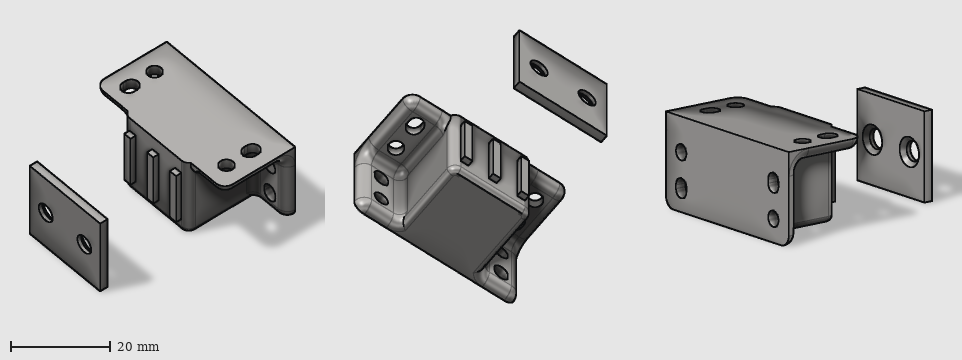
import cadquery as cq

housing_width = 40.0
housing_depth = 20.0
housing_height = 20.0

flange_thickness = 2.5
flange_setback = 1.0
flange_corner_radius = 2.5
flange_bend_radius = 2.5
flange_edge_radius = 2.45

block_width = 20.0
block_edge_radius = 2.0
block_bottom_radius = 1.5
block_root_radius = 2.0

hole_diameter = 3.4
slot_length = 4.2
slot_angle = 90
hole_x = 15.0
upper_hole_drop = 7.5
lower_hole_drop = 15.0
rear_hole_inset = 7.5
front_hole_inset = 14.0

bar_width = 1.95
bar_depth = 1.4
bar_height = 13.0
bar_pitch = 7.1
bar_count = 3
bar_drop = 3.5

total_depth = 44
cover_width = 21.9
cover_height = 19.1
cover_thickness = 2.0
cover_hole_diameter = 4.25
cover_countersink_depth = 1.0
cover_hole_spacing = 12.0

half_width = housing_width / 2
flange_underside = housing_height - flange_thickness
flange_front = flange_setback - housing_depth


def make_flanges():
    """L-shaped flanges on a core, with coved roots and rounded corners, bend and rim."""
    profile = (
        cq.Workplane("YZ")
        .polyline([
            (0, 0),
            (-flange_thickness, 0),
            (-flange_thickness, flange_underside),
            (flange_front, flange_underside),
            (flange_front, housing_height),
            (0, housing_height),
        ])
        .close()
        .extrude(half_width, both=True)
    )
    bend_edge = cq.selectors.NearestToPointSelector((0, -flange_thickness, flange_underside))
    flanges = profile.edges("|X").edges(bend_edge).fillet(flange_bend_radius)
    flanges = flanges.faces("<Y").edges("|Z").fillet(flange_corner_radius)
    flanges = flanges.faces("<Z").edges("|Y").fillet(flange_corner_radius)

    core = cq.Workplane("XY").box(
        block_width, -flange_front, housing_height, centered=(True, False, False)
    ).translate((0, flange_front, 0))
    flanges = flanges.union(core)

    middle_height = housing_height / 2
    for side in (-1, 1):
        root_edge = cq.selectors.NearestToPointSelector(
            (side * block_width / 2, -flange_thickness, middle_height))
        flanges = flanges.edges(root_edge).fillet(block_root_radius)
    for side in (-1, 1):
        rim_edge = cq.selectors.NearestToPointSelector(
            (side * half_width, -flange_thickness, middle_height))
        flanges = flanges.edges(rim_edge).fillet(flange_edge_radius)
    return flanges


def make_block():
    """Central block with rounded front corners and a smaller round along its bottom."""
    block = (
        cq.Workplane("XY")
        .box(block_width, housing_depth, housing_height, centered=(True, False, False))
        .translate((0, -housing_depth, 0))
    )
    block = block.faces("<Y").edges("|Z").fillet(block_edge_radius)
    return block.faces("<Z").edges("<Y").fillet(block_bottom_radius)


def cut_mounting_holes(housing):
    """One round hole and one slot in each wing of each flange, swapped side to side."""
    rear_plane = cq.Workplane("XZ")
    top_plane = cq.Workplane("XY", origin=(0, 0, housing_height))
    upper_z = housing_height - upper_hole_drop
    lower_z = housing_height - lower_hole_drop
    rear_holes = [(-hole_x, lower_z), (hole_x, upper_z)]
    rear_slots = [(-hole_x, upper_z), (hole_x, lower_z)]
    top_holes = [(-hole_x, -rear_hole_inset), (hole_x, -front_hole_inset)]
    top_slots = [(-hole_x, -front_hole_inset), (hole_x, -rear_hole_inset)]
    for plane, depth, holes, slots in (
        (rear_plane, flange_thickness, rear_holes, rear_slots),
        (top_plane, -flange_thickness, top_holes, top_slots),
    ):
        hole_cutters = plane.pushPoints(holes).circle(hole_diameter / 2).extrude(depth)
        slot_cutters = (
            plane.pushPoints(slots)
            .slot2D(slot_length, hole_diameter, slot_angle)
            .extrude(depth)
        )
        housing = housing.cut(hole_cutters).cut(slot_cutters)
    return housing


def make_bar(x):
    """Contact bar against the front face of the block, centred at the given X."""
    return cq.Workplane("XY").box(
        bar_width, bar_depth, bar_height, centered=(True, False, False)
    ).translate((x, -housing_depth - bar_depth, housing_height - bar_drop - bar_height))


def make_cover():
    """Flat cover plate with two through holes, countersunk on the side facing the housing."""
    rear_face = cover_thickness - total_depth
    cover = (
        cq.Workplane("XZ", origin=(0, rear_face, housing_height / 2))
        .rect(cover_width, cover_height)
        .pushPoints([(-cover_hole_spacing / 2, 0), (cover_hole_spacing / 2, 0)])
        .circle(cover_hole_diameter / 2)
        .extrude(cover_thickness)
    )
    rear_rims = cover.faces(">Y").edges("%CIRCLE")
    return rear_rims.chamfer(cover_countersink_depth)


housing = cut_mounting_holes(make_flanges().union(make_block()))
bars = [make_bar((index - (bar_count - 1) / 2) * bar_pitch) for index in range(bar_count)]
cover = make_cover()

result = cq.Compound.makeCompound([
    housing.val(),
    *[bar.val() for bar in bars],
    cover.val(),
])